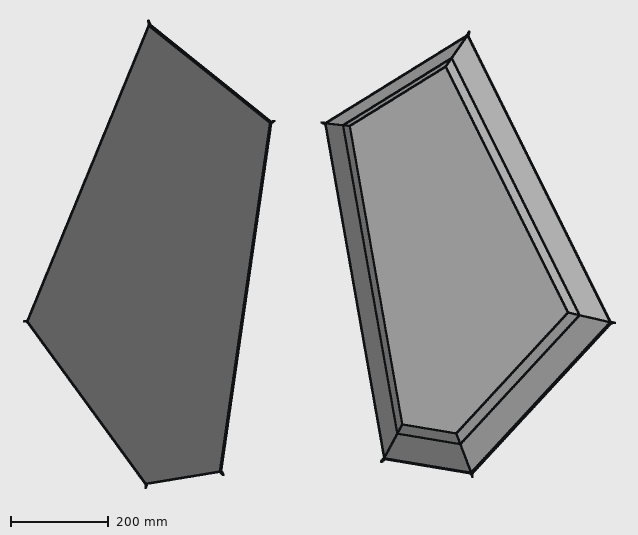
import cadquery as cq
import math

TOTAL_DEPTH = 49.0
RIM_DEPTH = 5.0
BACK_LAYER_DEPTH = 12.0
SIDE_TAPER = 55.0
SPIKE_LENGTH = 9.0
SPIKE_WIDTH = 3.0
SPIKE_DEPTH = 2.0
SPIKE_BACK = 4.0

FRONT_LAYER_DEPTH = TOTAL_DEPTH - BACK_LAYER_DEPTH
LEAN = math.tan(math.radians(SIDE_TAPER))

CORNERS = [(0.0, 494.0), (310.0, 345.0), (182.0, -429.0), (-8.0, -493.0), (-311.0, -203.0)]


def unit(start, end):
    """Unit vector from one point toward another."""
    length = math.dist(start, end)
    return (end[0] - start[0]) / length, (end[1] - start[1]) / length


def corner_miter(index):
    """Outward vector that moves a corner when both of its sides move out by one unit."""
    corner = CORNERS[index]
    before = unit(CORNERS[index - 1], corner)
    after = unit(corner, CORNERS[(index + 1) % len(CORNERS)])
    turn = 1 + before[0] * after[0] + before[1] * after[1]
    return (-before[1] - after[1]) / turn, (before[0] + after[0]) / turn


def inset_outline(inset):
    """Panel outline with every side moved inward by the same distance."""
    points = []
    for index, (x, z) in enumerate(CORNERS):
        miter_x, miter_z = corner_miter(index)
        points.append((x - inset * miter_x, z - inset * miter_z))
    return points


def plane_at(y):
    """Sketch plane facing the front, with local axes along X and Z."""
    return cq.Workplane("XZ", origin=(0, y, 0))


def tapered_layer(y_start, y_end):
    """Solid between two depths, with mitred walls leaning in toward the back."""
    start_inset = (y_start - RIM_DEPTH) * LEAN
    end_inset = (y_end - RIM_DEPTH) * LEAN
    return (
        plane_at(y_start)
        .polyline(inset_outline(start_inset))
        .close()
        .workplane(offset=y_start - y_end)
        .polyline(inset_outline(end_inset))
        .close()
        .loft(ruled=True, combine=True)
    )


def corner_spike(index):
    """Thin pointed sliver along the outward bisector, rooted inside the rim."""
    x, z = CORNERS[index]
    miter_x, miter_z = corner_miter(index)
    length = math.hypot(miter_x, miter_z)
    out_x = miter_x / length
    out_z = miter_z / length
    half_width = SPIKE_WIDTH / 2
    root_x = x - half_width * out_x
    root_z = z - half_width * out_z
    points = [
        (root_x - half_width * out_z, root_z + half_width * out_x),
        (x + SPIKE_LENGTH * out_x, z + SPIKE_LENGTH * out_z),
        (root_x + half_width * out_z, root_z - half_width * out_x),
    ]
    return plane_at(SPIKE_BACK).polyline(points).close().extrude(SPIKE_DEPTH)


def make_front_layer():
    """Front panel: straight rim, tapered walls and a sharp tip at every corner."""
    rim = plane_at(RIM_DEPTH).polyline(CORNERS).close().extrude(RIM_DEPTH)
    layer = rim.union(tapered_layer(RIM_DEPTH, FRONT_LAYER_DEPTH))
    for index in range(len(CORNERS)):
        layer = layer.union(corner_spike(index))
    return layer


front_layer = make_front_layer()
back_layer = tapered_layer(FRONT_LAYER_DEPTH, TOTAL_DEPTH)

result = cq.Compound.makeCompound([front_layer.val(), back_layer.val()])